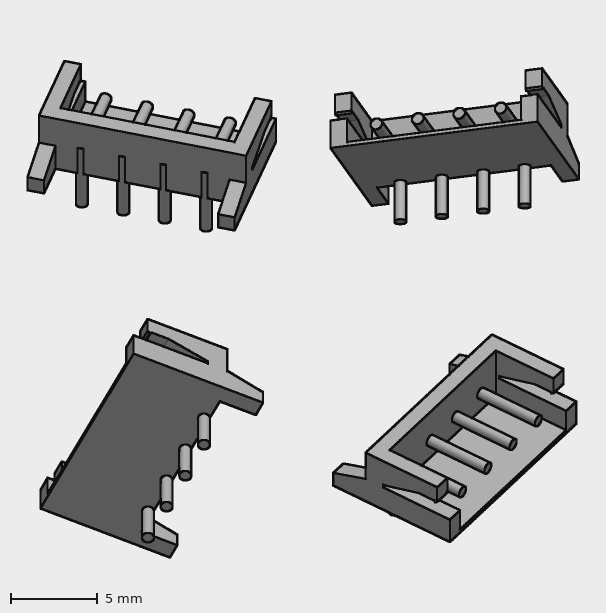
import cadquery as cq

length = 12.5
wall = 1.0
housing_depth = 6.0
housing_height = 3.8
floor_thickness = 0.25

foot_reach = 2.3
foot_tip_height = 1.0
ledge_height = 1.75
upper_depth = 5.1
slot_ceiling = 2.65
slot_end_y = 1.22
slot_end_height = 1.92
slot_slope_y = 3.78
lip_height = 0.11
lip_tip_y = 4.95
lip_root_y = 4.88

pin_count = 4
pin_pitch = 2.5
pin_radius = 0.35
pin_y = 0.3
pin_axis_height = 1.6
pin_drop = 2.5
pin_end_y = upper_depth


def side_wall(x_start):
    """Side wall profile in the YZ plane, extruded along X."""
    profile = [
        (-foot_reach, 0),
        (-foot_reach, foot_tip_height),
        (0, ledge_height),
        (0, housing_height),
        (upper_depth, housing_height),
        (upper_depth, slot_ceiling),
        (lip_tip_y, slot_ceiling - lip_height),
        (lip_root_y, slot_ceiling),
        (slot_slope_y, slot_ceiling),
        (slot_end_y, slot_end_height),
        (slot_end_y, ledge_height),
        (housing_depth, ledge_height),
        (housing_depth, 0),
    ]
    return cq.Workplane("YZ", origin=(x_start, 0, 0)).polyline(profile).close().extrude(wall)


def bent_pin(x):
    """Round pin with a mitred right-angle bend, from below the housing to its rear."""
    path = (
        cq.Workplane("YZ", origin=(x, 0, 0))
        .moveTo(pin_y, -pin_drop)
        .lineTo(pin_y, pin_axis_height)
        .lineTo(pin_end_y, pin_axis_height)
    )
    section = cq.Workplane("XY", origin=(x, pin_y, -pin_drop)).circle(pin_radius)
    return section.sweep(path, transition="right")


front_wall = cq.Workplane("XY").box(length, wall, housing_height, centered=False)
floor = cq.Workplane("XY").box(length, housing_depth, floor_thickness, centered=False)

result = front_wall.union(floor)
for x_start in (0, length - wall):
    result = result.union(side_wall(x_start))

first_pin_x = (length - (pin_count - 1) * pin_pitch) / 2
for index in range(pin_count):
    result = result.union(bent_pin(first_pin_x + index * pin_pitch))